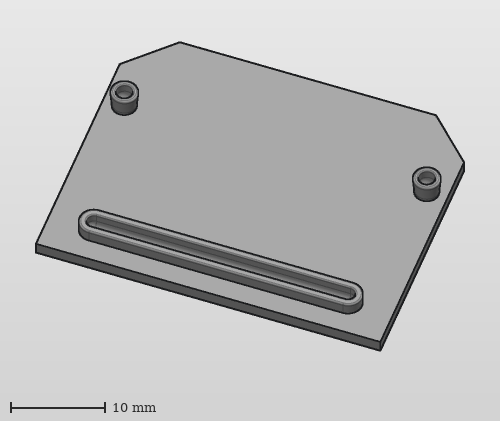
import cadquery as cq

length = 39.0
width = 31.0
plate_thickness = 1.52
corner_cut = 5.0

total_height = 3.9
peg_height = total_height - plate_thickness
peg_edge_inset = 2.38
peg_back_inset = 10.05
peg_base_radius = 1.35
peg_top_radius = 1.52
peg_foot_height = 0.4
peg_rim_round = 0.25
peg_mouth_round = 0.15
peg_bore_radius = 0.9
peg_bore_depth = 2.0

rib_length = 31.98
rib_width = 3.2
rib_height = 1.52
rib_front_inset = 3.95
rib_edge_round = 0.2
groove_mouth_round = 0.15
groove_width = 1.55
groove_depth = 1.8


def make_plate():
    """Flat plate with its two back corners cut at 45 degrees."""
    plate = cq.Workplane("XY").box(length, width, plate_thickness, centered=(True, True, False))
    return plate.edges("|Z and >Y").chamfer(corner_cut)


def make_peg():
    """Tapered peg with a rounded rim and a round-bottomed bore with a rounded mouth."""
    peg = (
        cq.Workplane("XZ")
        .lineTo(peg_base_radius, 0)
        .lineTo(peg_base_radius, peg_foot_height)
        .lineTo(peg_top_radius, peg_height)
        .lineTo(0, peg_height)
        .close()
        .revolve(360, (0, 0, 0), (0, 1, 0))
    )
    ball_z = peg_height - peg_bore_depth + peg_bore_radius
    bore = cq.Workplane("XY", origin=(0, 0, ball_z)).circle(peg_bore_radius).extrude(peg_height - ball_z)
    ball = cq.Workplane("XY", origin=(0, 0, ball_z)).sphere(peg_bore_radius)
    peg = peg.faces(">Z").edges().fillet(peg_rim_round)
    peg = peg.cut(bore.union(ball))
    return peg.faces(">Z").edges(cq.selectors.RadiusNthSelector(0)).fillet(peg_mouth_round)


def make_groove():
    """Slot-shaped cavity with a half-round floor and spherical floor ends."""
    radius = groove_width / 2
    floor_axis_z = rib_height - groove_depth + radius
    straight_length = rib_length - rib_width
    groove = (
        cq.Workplane("XY", origin=(0, 0, floor_axis_z))
        .slot2D(straight_length + groove_width, groove_width)
        .extrude(rib_height - floor_axis_z)
    )
    trough = (
        cq.Workplane("YZ", origin=(-straight_length / 2, 0, floor_axis_z))
        .circle(radius)
        .extrude(straight_length)
    )
    groove = groove.union(trough)
    for end_x in (-straight_length / 2, straight_length / 2):
        groove = groove.union(cq.Workplane("XY", origin=(end_x, 0, floor_axis_z)).sphere(radius))
    return groove


def make_rib():
    """Round-ended rib, hollowed by the groove, with both top rims rounded."""
    rib = cq.Workplane("XY").slot2D(rib_length, rib_width).extrude(rib_height)
    rib = rib.faces(">Z").edges().fillet(rib_edge_round)
    rib = rib.cut(make_groove())
    rim_half_length = (rib_length - rib_width + groove_width) / 2 + groove_mouth_round
    rim_half_width = groove_width / 2 + groove_mouth_round
    mouth = cq.selectors.BoxSelector(
        (-rim_half_length, -rim_half_width, rib_height - groove_mouth_round),
        (rim_half_length, rim_half_width, rib_height + groove_mouth_round),
    )
    return rib.faces(">Z").edges(mouth).fillet(groove_mouth_round)


result = make_plate()

rib_y = rib_front_inset - width / 2
result = result.union(make_rib().translate((0, rib_y, plate_thickness)))
result = result.cut(make_groove().translate((0, rib_y, plate_thickness)))

peg_x = length / 2 - peg_edge_inset
peg_y = width / 2 - peg_back_inset
for x in (-peg_x, peg_x):
    result = result.union(make_peg().translate((x, peg_y, plate_thickness)))